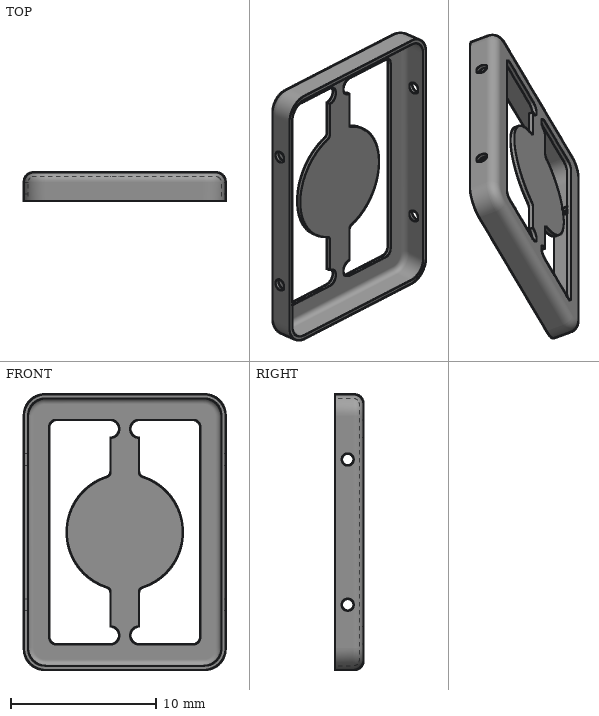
import cadquery as cq

width = 13.9
depth = 2.0
height = 19.0
wall = 0.3
corner_radius = 1.5
back_round = 0.7

window_width = 10.37
window_height = 15.43
window_corner_radius = 0.5
disc_radius = 4.0
strap_width = 2.0
strap_joint_radius = 0.3
relief_radius = 0.6

pin_hole_diameter = 0.8
pin_hole_spacing = 10.0

back_y = depth / 2
pin_hole_y = back_y - back_round - pin_hole_diameter / 2


def rounded_block(size_x, size_y, size_z, vertical_radius, rear_radius):
    """Block with rounded corners along Y and a rounded rear rim."""
    block = cq.Workplane("XY").box(size_x, size_y, size_z)
    return block.edges("|Y").fillet(vertical_radius).faces(">Y").edges().fillet(rear_radius)


def make_tray():
    outside = rounded_block(width, depth, height, corner_radius, back_round)
    inside = rounded_block(
        width - 2 * wall, depth, height - 2 * wall, corner_radius - wall, back_round - wall
    )
    return outside.cut(inside.translate((0, -wall, 0)))


def make_window():
    """Cutter for the two openings left and right of the strap and disc."""
    window = cq.Workplane("XY").box(window_width, depth, window_height)
    window = window.edges("|Y").fillet(window_corner_radius)
    strap = cq.Workplane("XY").box(strap_width, depth, height)
    disc = cq.Workplane("XZ").circle(disc_radius).extrude(depth / 2, both=True)
    strap_and_disc = strap.union(disc)
    joint_zone = cq.selectors.BoxSelector(
        (-strap_width, -depth, -disc_radius), (strap_width, depth, disc_radius)
    )
    strap_and_disc = strap_and_disc.edges("|Y").edges(joint_zone).fillet(strap_joint_radius)
    relief_z = window_height / 2 - relief_radius
    relief_centers = [(x, z) for x in (-strap_width / 2, strap_width / 2) for z in (-relief_z, relief_z)]
    reliefs = (
        cq.Workplane("XZ").pushPoints(relief_centers).circle(relief_radius).extrude(depth / 2, both=True)
    )
    return window.cut(strap_and_disc).union(reliefs).translate((0, back_y, 0))


def make_pin_holes():
    centers = [(pin_hole_y, -pin_hole_spacing / 2), (pin_hole_y, pin_hole_spacing / 2)]
    return cq.Workplane("YZ").pushPoints(centers).circle(pin_hole_diameter / 2).extrude(width, both=True)


result = make_tray().cut(make_window()).cut(make_pin_holes())